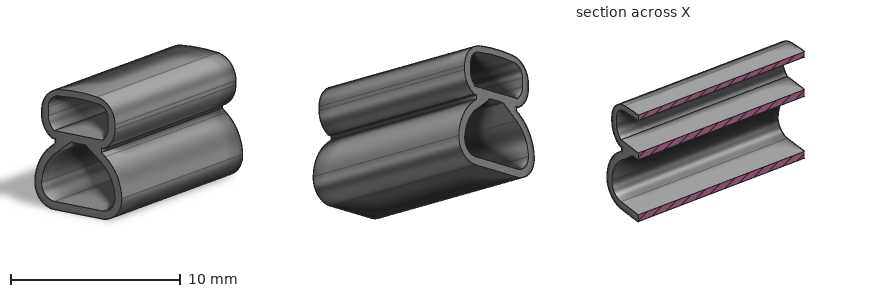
import cadquery as cq
import math

length = 12.0
height = 7.49
wall = 0.5
top_wall = 0.4

lower_half_width = 3.185
foot_radius = 1.45
flank_radius = 3.1
foot_end_angle = math.radians(2.0)
flank_angle = math.radians(52.5)

neck_half_width = 1.69

upper_half_width = 2.69
upper_floor = 4.33
belly_radius = 1.5
belly_center_z = 5.66
crown_radius = 1.5
crown_center_z = 5.92
bore_crown_radius = 0.8
bore_crown_center_z = 6.2


def polar(center, radius, angle):
    """Point at the given distance and angle from center."""
    return (center[0] + radius * math.cos(angle), center[1] + radius * math.sin(angle))


def add_arc(path, center, radius, start, end):
    """Arc about center from the current point, at angle start, to angle end."""
    middle = polar(center, radius, (start + end) / 2)
    return path.threePointArc(middle, polar(center, radius, end))


def extrude_half(path):
    """Close a half outline along the Z axis, extrude it along Y and mirror it."""
    half = path.close().extrude(length / 2, both=True)
    return half.union(half.mirror("YZ"))


def lower_tube(inset, ceiling, neck=None):
    """Lower outline moved inward by inset; the shoulder runs to the ceiling or stops at the neck's side."""
    foot_center = (lower_half_width - foot_radius, foot_radius)
    flank_center = polar(foot_center, foot_radius - flank_radius, foot_end_angle)
    shoulder_x, shoulder_z = polar(flank_center, flank_radius - inset, flank_angle)
    run_per_rise = math.tan(flank_angle)

    path = cq.Workplane("XZ").moveTo(0, inset).lineTo(foot_center[0], inset)
    path = add_arc(path, foot_center, foot_radius - inset, -math.pi / 2, foot_end_angle)
    path = add_arc(path, flank_center, flank_radius - inset, foot_end_angle, flank_angle)
    if neck is None:
        path = path.lineTo(shoulder_x - (ceiling - shoulder_z) * run_per_rise, ceiling)
    else:
        path = path.lineTo(neck, shoulder_z + (shoulder_x - neck) / run_per_rise)
        path = path.lineTo(neck, ceiling)
    return extrude_half(path.lineTo(0, ceiling))


def upper_tube(half_width, floor, belly, crown, crown_z, top):
    """Upper outline: flat floor, round sides and a shallow roof arc tangent to the crown corners."""
    belly_center = (half_width - belly, belly_center_z)
    crown_center = (half_width - crown, crown_z)
    floor_angle = -math.asin((belly_center_z - floor) / belly)
    rise = top - crown_z - crown
    center_distance = (crown_center[0] ** 2 + rise ** 2) / (2 * rise)
    roof_radius = center_distance + crown
    roof_center = (0, top - roof_radius)
    roof_angle = math.acos(crown_center[0] / center_distance)

    path = cq.Workplane("XZ").moveTo(0, floor).lineTo(*polar(belly_center, belly, floor_angle))
    path = add_arc(path, belly_center, belly, floor_angle, 0)
    path = path.lineTo(half_width, crown_z)
    path = add_arc(path, crown_center, crown, 0, roof_angle)
    path = add_arc(path, roof_center, roof_radius, roof_angle, math.pi / 2)
    return extrude_half(path)


lower_body = lower_tube(0, upper_floor, neck_half_width)
lower_bore = lower_tube(wall, upper_floor)
upper_body = upper_tube(
    upper_half_width, upper_floor, belly_radius, crown_radius, crown_center_z, height
)
upper_bore = upper_tube(
    upper_half_width - wall,
    upper_floor + wall,
    belly_radius - wall,
    bore_crown_radius,
    bore_crown_center_z,
    height - top_wall,
)

result = lower_body.union(upper_body).cut(lower_bore).cut(upper_bore).clean()